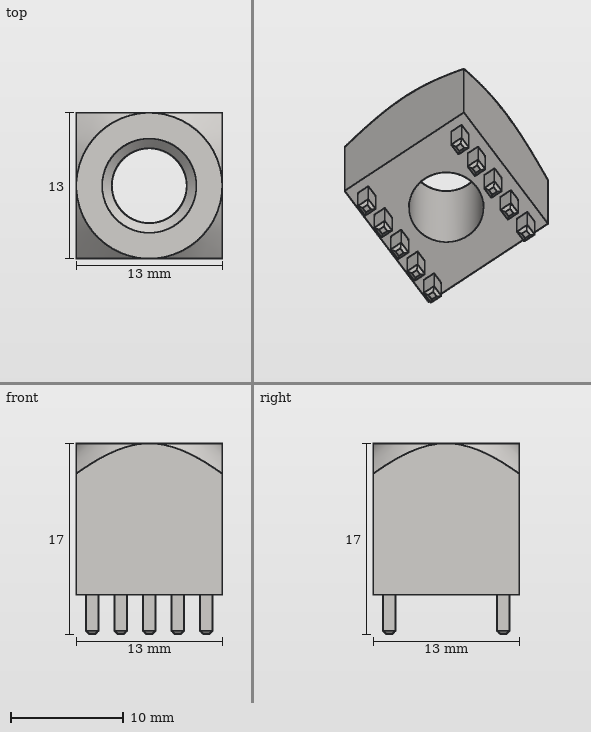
import cadquery as cq
import math

body_width = 13.0
overall_height = 17.0
pin_length = 3.5
body_height = overall_height - pin_length

crown_diameter = 12.99
crown_slope = 45.0

bore_diameter = 6.65
countersink_diameter = 8.4
countersink_angle = 90.0

pin_width = 1.14
pin_tip_chamfer = 0.3
pins_per_row = 5
row_spacing = 10.17
pin_pitch = row_spacing / (pins_per_row - 1)


def make_body():
    """Square block raised by the pin length and centred on Z."""
    return (
        cq.Workplane("XY")
        .workplane(offset=pin_length)
        .rect(body_width, body_width)
        .extrude(body_height)
    )


def make_crown_envelope():
    """Round solid with a conical top that trims the four upper corners."""
    crown_radius = crown_diameter / 2
    outer_radius = body_width
    cone_drop = (outer_radius - crown_radius) * math.tan(math.radians(crown_slope))
    return (
        cq.Workplane("XZ")
        .moveTo(0, 0)
        .lineTo(outer_radius, 0)
        .lineTo(outer_radius, overall_height - cone_drop)
        .lineTo(crown_radius, overall_height)
        .lineTo(0, overall_height)
        .close()
        .revolve(360, (0, 0, 0), (0, 1, 0))
    )


def make_pins():
    """Both pin rows, with all four edges of each tip chamfered."""
    return (
        cq.Workplane("XY")
        .rarray(pin_pitch, row_spacing, pins_per_row, 2)
        .rect(pin_width, pin_width)
        .extrude(pin_length)
        .faces("<Z")
        .edges()
        .chamfer(pin_tip_chamfer)
    )


trimmed_body = make_body().intersect(make_crown_envelope())
bored_body = (
    trimmed_body.faces(">Z")
    .workplane(origin=(0, 0, overall_height))
    .cskHole(bore_diameter, countersink_diameter, countersink_angle)
)
result = bored_body.union(make_pins())